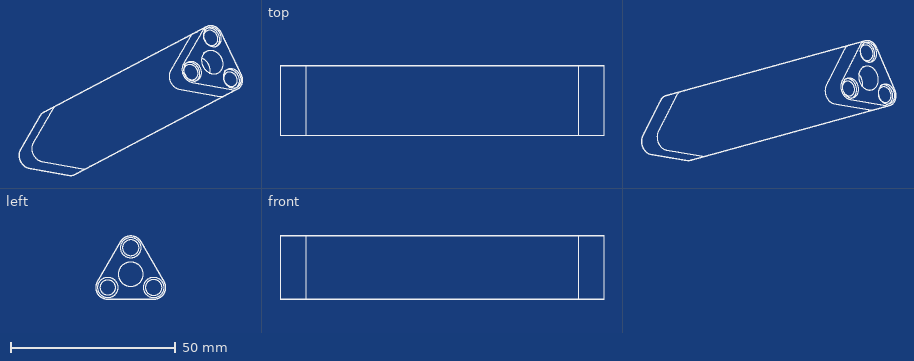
import cadquery as cq
import math

total_length = 98.5
total_width = 21.3
total_height = 19.4
cap_length = 7.8

sin_60 = math.sin(math.radians(60))
corner_spacing = (total_width - total_height) / (1 - sin_60)
corner_radius = (total_width - corner_spacing) / 2
centroid_to_corner = corner_spacing / math.sqrt(3)

corner_bore_diameter = 4.9
narrow_bore_diameter = 4.6
counterbore_diameter = 6.2
counterbore_depth = 1.0
centre_bore_diameter = 7.5

base_z = -total_height / 2
centroid_z = base_z + corner_radius + centroid_to_corner / 2
body_length = total_length - 2 * cap_length
body_start_x = -body_length / 2
corner_angles = [90, 210, 330]
corner_points = [
    (
        centroid_to_corner * math.cos(math.radians(angle)),
        centroid_z + centroid_to_corner * math.sin(math.radians(angle)),
    )
    for angle in corner_angles
]
top_corner, minus_y_corner, plus_y_corner = corner_points


def make_prism(start_x, length):
    """Rounded triangular prism running from start_x towards +X."""
    return (
        cq.Workplane("YZ", origin=(start_x, 0, 0))
        .polyline(corner_points)
        .close()
        .offset2D(corner_radius)
        .extrude(length)
    )


def make_hole_cutter(points, diameter, depth):
    """Cylinders that cut into the -X end face to the given depth."""
    return (
        cq.Workplane("YZ", origin=(-total_length / 2, 0, 0))
        .pushPoints(points)
        .circle(diameter / 2)
        .extrude(depth)
    )


def make_end_cap():
    """Cap at the -X end, with a centre bore and a counterbored hole in each corner, one of them narrower."""
    cap = make_prism(-total_length / 2, cap_length)
    cap = cap.cut(make_hole_cutter([(0, centroid_z)], centre_bore_diameter, cap_length))
    cap = cap.cut(make_hole_cutter([top_corner, minus_y_corner], corner_bore_diameter, cap_length))
    cap = cap.cut(make_hole_cutter([plus_y_corner], narrow_bore_diameter, cap_length))
    return cap.cut(make_hole_cutter(corner_points, counterbore_diameter, counterbore_depth))


middle_body = make_prism(body_start_x, body_length)

start_cap = make_end_cap()
end_caps = [start_cap, start_cap.mirror("YZ")]

result = cq.Compound.makeCompound([middle_body.val(), *[cap.val() for cap in end_caps]])